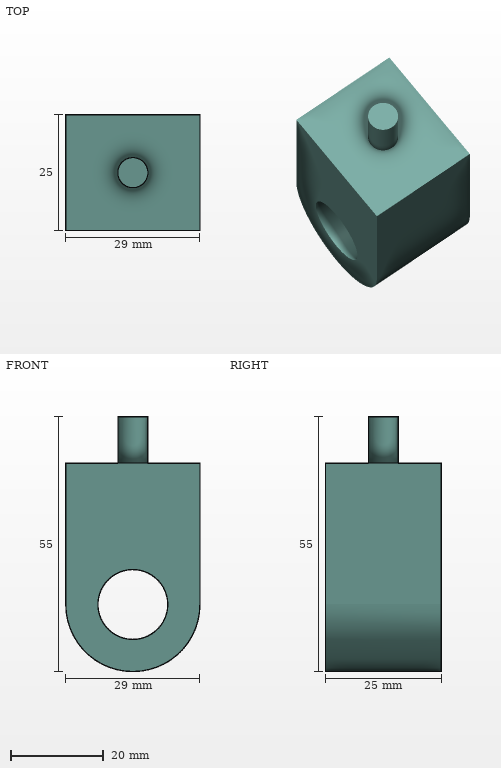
import cadquery as cq

total_height = 55.0
body_width = 29.0
body_depth = 25.0
bore_diameter = 15.0
pin_diameter = 6.5
pin_height = 10.0

end_radius = body_width / 2
body_top = total_height - pin_height - end_radius


def make_body():
    """Block with a flat top and a full-round lower end, centred on Y."""
    return (
        cq.Workplane("XZ")
        .moveTo(-end_radius, 0)
        .lineTo(-end_radius, body_top)
        .lineTo(end_radius, body_top)
        .lineTo(end_radius, 0)
        .threePointArc((0, -end_radius), (-end_radius, 0))
        .close()
        .extrude(body_depth / 2, both=True)
    )


def make_bore():
    """Cylinder that cuts through the full depth of the body."""
    return cq.Workplane("XZ").circle(bore_diameter / 2).extrude(body_depth / 2, both=True)


def make_pin():
    """Round pin standing on the centre of the top face."""
    return cq.Workplane("XY", origin=(0, 0, body_top)).circle(pin_diameter / 2).extrude(pin_height)


result = make_body().cut(make_bore()).union(make_pin())